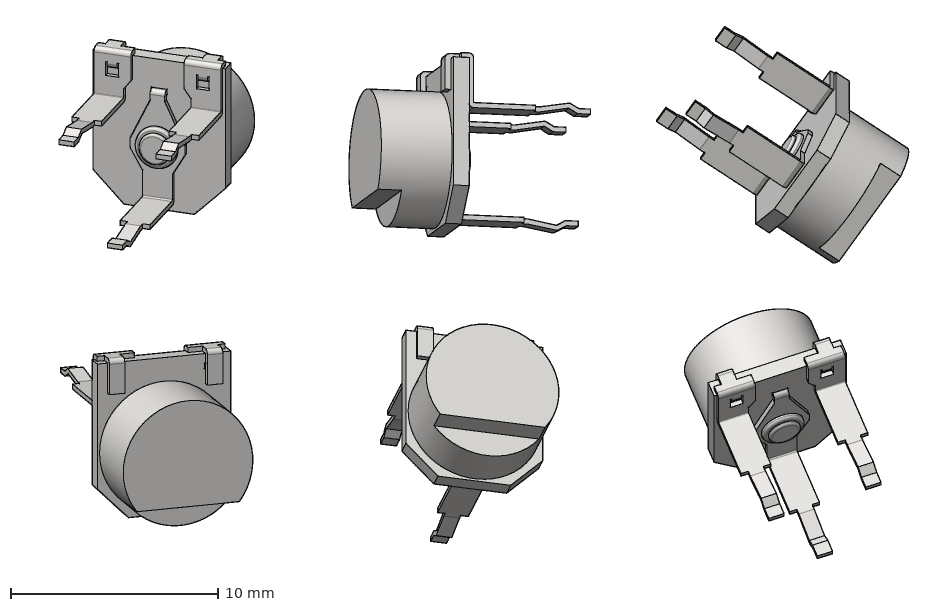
import cadquery as cq
import math


CLEARANCE = 0.03

PLATE_WIDTH = 6.81
PLATE_THICKNESS = 0.8
PLATE_TOP = 4.48
PLATE_BOTTOM = -3.4
PLATE_CORNER = 1.59

SHEET = 0.25
OUTER_BEND = 0.24
CREST_HEIGHT = 0.25
KINK_START = -3.61
KINK_CREST = -5.1
KINK_END = -5.56
LEG_TIP = -6.15
LEG_WIDTH = 1.53
PIN_WIDTH = 0.79

SIDE_LEG_X = 2.5
SIDE_LEG_TOP = 2.31
SIDE_SHOULDER = -3.33
SIDE_INNER_BEND = 0.02
SIDE_OUTER_X = SIDE_LEG_X + LEG_WIDTH / 2
SIDE_INNER_X = 1.36
SIDE_TAPER_TOP = 3.25
SIDE_TAPER_BOTTOM = 2.76
HOOK_SHELF = 0.36
HOOK_BOTTOM = 2.97
WINDOW_X = 2.33
WINDOW_WIDTH = 0.66
WINDOW_BOTTOM = 3.34
WINDOW_TOP = 4.05
WINDOW_TAB_WIDTH = 0.5
WINDOW_TAB_BOTTOM = 3.71

WIPER_LEG_TOP = -2.74
WIPER_SHOULDER = -3.36
WIPER_INNER_BEND = 0.07
WIPER_TAB_WIDTH = 0.76
WIPER_TAB_BOTTOM = 2.67
WIPER_NECK = 2.4
WIPER_MAX_WIDTH = 2.81
WIPER_BELLY = 0.25
WIPER_WAIST = -1.35

KNOB_RADIUS = 3.3
KNOB_FRONT = PLATE_THICKNESS + CLEARANCE
KNOB_BACK = 4.34
KNOB_FLAT_Z = -2.02
KNOB_FLAT_START = 3.17
COLLAR_BACK = -SHEET - CLEARANCE
COLLAR_FRONT = -0.55
COLLAR_RADIUS = 1.08
COLLAR_ROUND = 0.16
SHAFT_RADIUS = 0.82
SHAFT_FRONT = -0.72
SHAFT_ROUND = 0.13


def block(x_mid, width, y_front, y_back, z_bottom, z_top):
    """Box centred on x_mid and given by its limits in Y and Z."""
    return cq.Workplane("XY").box(width, y_back - y_front, z_top - z_bottom, centered=False).translate(
        (x_mid - width / 2, y_front, z_bottom)
    )


def disc(radius, y_front, y_back):
    """Cylinder about the Y axis."""
    return cq.Workplane("XZ", origin=(0, y_back, 0)).circle(radius).extrude(y_back - y_front)


def sheet_outline(points):
    """Piece of sheet lying on the front of the plate, cut to an XZ outline."""
    return cq.Workplane("XZ").polyline(points).close().extrude(SHEET)


def plate():
    """Insulating plate with its two lower corners cut off."""
    half = PLATE_WIDTH / 2
    outline = [
        (-half, PLATE_TOP),
        (half, PLATE_TOP),
        (half, PLATE_BOTTOM + PLATE_CORNER),
        (half - PLATE_CORNER, PLATE_BOTTOM),
        (PLATE_CORNER - half, PLATE_BOTTOM),
        (-half, PLATE_BOTTOM + PLATE_CORNER),
    ]
    return cq.Workplane("XZ").polyline(outline).close().extrude(-PLATE_THICKNESS)


def leg(x_mid, shoulder, top, kink_side, inner_bend):
    """Leg bent forward from the sheet, narrowing to a kinked pin.

    kink_side is +1 for a kink that rises and -1 for one that drops.
    """
    bottom = top - SHEET
    wide = block(x_mid, LEG_WIDTH, shoulder, 0, bottom, top)
    wide = wide.edges("|X and >Y and <Z").fillet(OUTER_BEND)

    corner = (
        cq.Workplane("YZ")
        .moveTo(-SHEET, top)
        .lineTo(-SHEET - inner_bend, top)
        .radiusArc((-SHEET, top + inner_bend), -inner_bend)
        .close()
        .extrude(LEG_WIDTH / 2, both=True)
        .translate((x_mid, 0, 0))
    )

    rise = math.atan(CREST_HEIGHT / (KINK_START - KINK_CREST))
    fall = math.atan(CREST_HEIGHT / (KINK_CREST - KINK_END))
    start_shift = SHEET * math.tan(rise / 2)
    crest_shift = SHEET * math.tan((fall - rise) / 2)
    end_shift = SHEET * math.tan(fall / 2)
    outer = SHEET / 2
    inner = -SHEET / 2
    profile = [
        (shoulder, outer),
        (KINK_START, outer),
        (KINK_CREST, outer + CREST_HEIGHT),
        (KINK_END, outer),
        (LEG_TIP, outer),
        (LEG_TIP, inner),
        (KINK_END + end_shift, inner),
        (KINK_CREST + crest_shift, inner + CREST_HEIGHT),
        (KINK_START - start_shift, inner),
        (shoulder, inner),
    ]
    pin = (
        cq.Workplane("YZ")
        .polyline([(y, kink_side * z) for y, z in profile])
        .close()
        .extrude(PIN_WIDTH / 2, both=True)
        .translate((x_mid, 0, (top + bottom) / 2))
    )
    return wide.union(corner).union(pin)


def folded_tab(x_mid, width, z_bottom, fold_edge):
    """Tab folded back from the sheet through the plate, its bend rounded."""
    tab = block(x_mid, width, -SHEET, PLATE_THICKNESS, z_bottom, z_bottom + SHEET)
    return tab.edges("|X and <Y and " + fold_edge).fillet(OUTER_BEND)


def tab_slot(x_mid, width, z_bottom):
    """Slot through the plate, with clearance above and beside a folded tab."""
    return block(
        x_mid,
        width + 2 * CLEARANCE,
        0,
        PLATE_THICKNESS,
        z_bottom,
        z_bottom + SHEET + CLEARANCE,
    )


def top_hook():
    """Fold over the top edge of the plate, ending in a narrow hook behind it."""
    width = SIDE_OUTER_X - SIDE_INNER_X
    x_mid = (SIDE_OUTER_X + SIDE_INNER_X) / 2
    fold_top = PLATE_TOP + SHEET
    hook_back = PLATE_THICKNESS + CLEARANCE + SHEET
    shelf = block(x_mid, width, -SHEET, HOOK_SHELF, PLATE_TOP, fold_top)
    shelf = shelf.edges("|X and <Y and >Z").fillet(OUTER_BEND)
    arm = block(SIDE_LEG_X, PIN_WIDTH, 0, hook_back, PLATE_TOP, fold_top)
    arm = arm.edges("|X and >Y and >Z").fillet(OUTER_BEND)
    hook = block(SIDE_LEG_X, PIN_WIDTH, PLATE_THICKNESS, hook_back, HOOK_BOTTOM, PLATE_TOP)
    return shelf.union(arm).union(hook)


def side_terminal():
    """Terminal on the +X side."""
    leg_inner_x = SIDE_LEG_X - LEG_WIDTH / 2
    face = sheet_outline([
        (SIDE_OUTER_X, SIDE_LEG_TOP),
        (SIDE_OUTER_X, PLATE_TOP),
        (SIDE_INNER_X, PLATE_TOP),
        (SIDE_INNER_X, SIDE_TAPER_TOP),
        (leg_inner_x, SIDE_TAPER_BOTTOM),
        (leg_inner_x, SIDE_LEG_TOP),
    ])
    window = block(WINDOW_X, WINDOW_WIDTH, -SHEET, 0, WINDOW_BOTTOM, WINDOW_TOP)
    tab_top = WINDOW_TAB_BOTTOM + SHEET
    tab_root = block(WINDOW_X, WINDOW_TAB_WIDTH, -SHEET, 0, tab_top, WINDOW_TOP)
    tab = folded_tab(WINDOW_X, WINDOW_TAB_WIDTH, WINDOW_TAB_BOTTOM, "<Z")
    return (
        face.cut(window)
        .union(tab_root)
        .union(tab)
        .union(top_hook())
        .union(leg(SIDE_LEG_X, SIDE_SHOULDER, SIDE_LEG_TOP, 1, SIDE_INNER_BEND))
    )


def wiper_terminal():
    """Middle terminal, widened around the rotor shaft."""
    right_side = [
        (WIPER_TAB_WIDTH / 2, WIPER_TAB_BOTTOM),
        (WIPER_TAB_WIDTH / 2, WIPER_NECK),
        (WIPER_MAX_WIDTH / 2, WIPER_BELLY),
        (WIPER_MAX_WIDTH / 2, -WIPER_BELLY),
        (LEG_WIDTH / 2, WIPER_WAIST),
        (LEG_WIDTH / 2, WIPER_LEG_TOP),
    ]
    left_side = [(-x, z) for x, z in reversed(right_side)]
    face = sheet_outline(right_side + left_side)
    tab = folded_tab(0, WIPER_TAB_WIDTH, WIPER_TAB_BOTTOM, ">Z")
    return face.union(tab).union(leg(0, WIPER_SHOULDER, WIPER_LEG_TOP, -1, WIPER_INNER_BEND))


def make_base():
    """Plate with its three terminals, bored for the rotor shaft."""
    right_terminal = side_terminal()
    left_terminal = right_terminal.mirror("YZ")
    body = plate().cut(tab_slot(0, WIPER_TAB_WIDTH, WIPER_TAB_BOTTOM))
    for side in (-1, 1):
        body = body.cut(tab_slot(side * WINDOW_X, WINDOW_TAB_WIDTH, WINDOW_TAB_BOTTOM))
    for terminal in (left_terminal, right_terminal, wiper_terminal()):
        body = body.union(terminal)
    return body.cut(disc(SHAFT_RADIUS, -SHEET, PLATE_THICKNESS))


def make_rotor():
    """Knob behind the plate, with a shaft and retaining collar in front."""
    knob = disc(KNOB_RADIUS, KNOB_FRONT, KNOB_BACK)
    flat = block(0, 2 * KNOB_RADIUS, KNOB_FLAT_START, KNOB_BACK, -KNOB_RADIUS, KNOB_FLAT_Z)
    shaft = disc(SHAFT_RADIUS, SHAFT_FRONT, KNOB_FRONT).faces("<Y").edges().fillet(SHAFT_ROUND)
    collar = disc(COLLAR_RADIUS, COLLAR_FRONT, COLLAR_BACK).faces("<Y").edges().fillet(COLLAR_ROUND)
    return knob.cut(flat).union(shaft).union(collar)


base = make_base()
rotor = make_rotor()

result = cq.Compound.makeCompound([base.solids().val(), rotor.solids().val()])